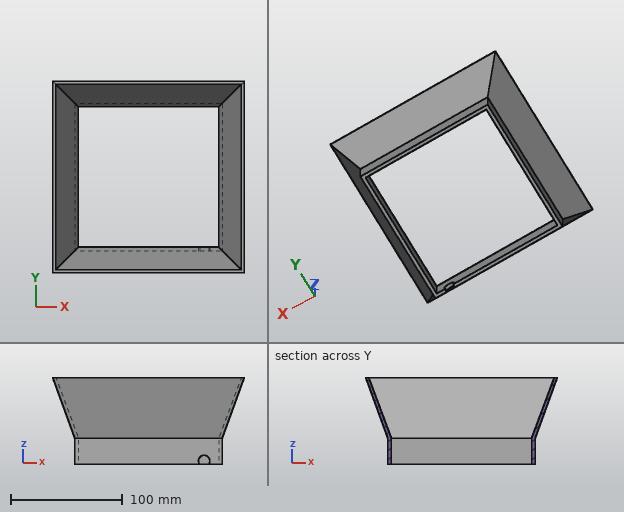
import cadquery as cq

rim_width = 172.0
total_height = 78.0

collar_width = 132.5
collar_height = 23.5
collar_opening = 125.6

rim_opening = 166.2

notch_diameter = 10.2
notch_x = 49.9
notch_center_z = 3.1


def flared_tube(bottom_width, top_width):
    """Solid square prism up to the collar top, then a square flare up to the rim."""
    collar = cq.Workplane("XY").rect(bottom_width, bottom_width).extrude(collar_height)
    flare = (
        cq.Workplane("XY", origin=(0, 0, collar_height))
        .rect(bottom_width, bottom_width)
        .workplane(offset=total_height - collar_height)
        .rect(top_width, top_width)
        .loft(ruled=True)
    )
    return collar.union(flare)


def cable_notch():
    """Cylinder along Y, from the part's middle out through the front wall."""
    return (
        cq.Workplane("XZ")
        .center(notch_x, notch_center_z)
        .circle(notch_diameter / 2)
        .extrude(collar_width)
    )


outside = flared_tube(collar_width, rim_width)
inside = flared_tube(collar_opening, rim_opening)
result = outside.cut(inside).cut(cable_notch())